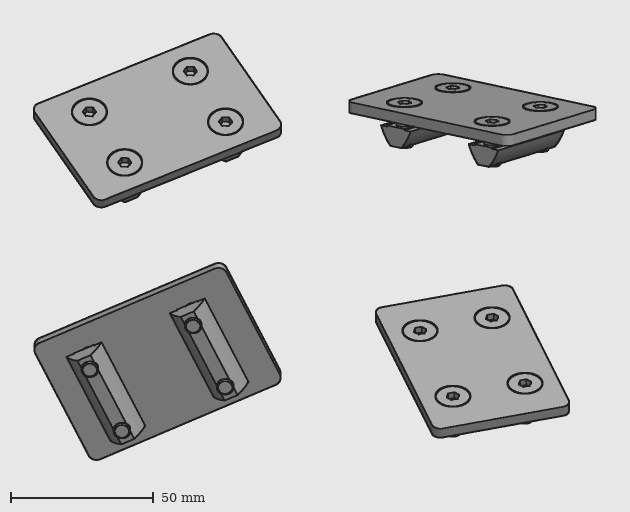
import cadquery as cq


plate_width = 50.0
plate_length = 74.0
plate_thickness = 4.0
corner_radius = 3.1

screw_spacing_x = 26.35
screw_spacing_y = 39.95
screw_positions = [
    (side_x * screw_spacing_x / 2, side_y * screw_spacing_y / 2)
    for side_x in (-1, 1)
    for side_y in (-1, 1)
]

overall_height = 16.0
shank_diameter = 6.0
head_diameter = 12.0
head_protrusion = 0.1
tip_chamfer = 0.5
socket_across_flats = 4.0
socket_depth = 2.5
hexagon_sides = 6
socket_turn = 180 / hexagon_sides

clearance_diameter = 6.5
countersink_diameter = 12.4

nut_length = 36.0
nut_gap = 4.0
lip_width = 8.0
lip_height = 0.45
nut_width = 13.55
nut_bottom_width = 5.0
nut_height = 7.2
flank_bulge = 0.4

head_top = plate_thickness + head_protrusion
screw_tip = head_top - overall_height
nut_top = -nut_gap
nut_shoulder = nut_top - lip_height
nut_bottom = nut_top - nut_height


def make_plate():
    """Rounded plate with four countersunk clearance holes."""
    return (
        cq.Workplane("XY")
        .box(plate_width, plate_length, plate_thickness, centered=(True, True, False))
        .edges("|Z")
        .fillet(corner_radius)
        .faces(">Z")
        .workplane()
        .pushPoints(screw_positions)
        .cskHole(clearance_diameter, countersink_diameter, 90)
    )


def make_screw():
    """Screw on the Z axis, revolved from its half profile, with a hexagon socket."""
    shank_radius = shank_diameter / 2
    head_radius = head_diameter / 2
    rim_bottom = plate_thickness - (countersink_diameter - head_diameter) / 2
    cone_bottom = rim_bottom - (head_radius - shank_radius)
    body = (
        cq.Workplane("XZ")
        .moveTo(0, screw_tip)
        .lineTo(shank_radius - tip_chamfer, screw_tip)
        .lineTo(shank_radius, screw_tip + tip_chamfer)
        .lineTo(shank_radius, cone_bottom)
        .lineTo(head_radius, rim_bottom)
        .lineTo(head_radius, head_top)
        .lineTo(0, head_top)
        .close()
        .revolve(360, (0, 0), (0, 1))
    )
    socket = (
        cq.Workplane("XY")
        .workplane(offset=head_top)
        .transformed(rotate=(0, 0, socket_turn))
        .polygon(hexagon_sides, socket_across_flats, circumscribed=True)
        .extrude(-socket_depth)
    )
    return body.cut(socket)


def make_nut():
    """Slot nut centred on X, running along X."""
    half_lip = lip_width / 2
    half_width = nut_width / 2
    half_bottom = nut_bottom_width / 2
    return (
        cq.Workplane("YZ")
        .moveTo(-half_lip, nut_top)
        .lineTo(half_lip, nut_top)
        .lineTo(half_lip, nut_shoulder)
        .lineTo(half_width, nut_shoulder)
        .sagittaArc((half_bottom, nut_bottom), flank_bulge)
        .lineTo(-half_bottom, nut_bottom)
        .sagittaArc((-half_width, nut_shoulder), flank_bulge)
        .lineTo(-half_lip, nut_shoulder)
        .close()
        .extrude(nut_length / 2, both=True)
    )


result = make_plate()

for side in (-1, 1):
    result = result.union(make_nut().translate((0, side * screw_spacing_y / 2, 0)))

for x, y in screw_positions:
    result = result.union(make_screw().translate((x, y, 0)))